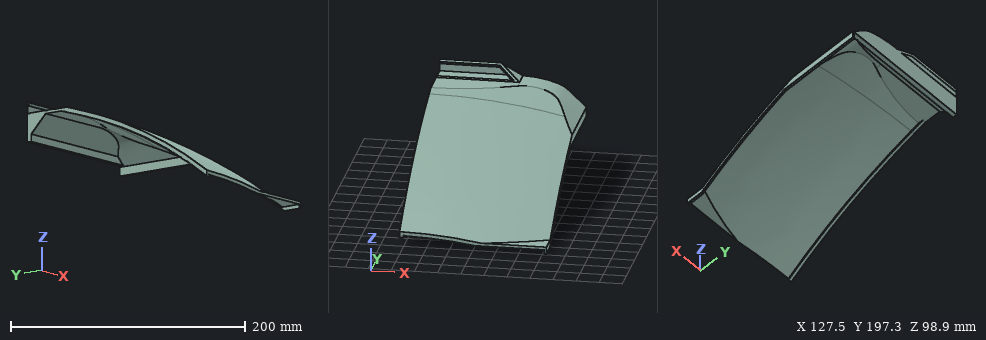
import cadquery as cq
import math

WIDTH = 127.5
LENGTH = 197.3
HEIGHT = 98.9
FLOOR = -39.5
OVERRUN = 9.9

DECK_Z = 88.4
LEDGE_Z = 6.3
SHOULDER_Z = 63.3
DECK_WIDTH = 72.5

ARC_BACK_Y = 145.5
CROWN_BACK_Z = 85.8
CROWN_FRONT_Z = 12.5
ARC_RISE = 7.3
EDGE_DROP_BACK = 15.5
EDGE_DROP_FRONT = 19.7

SHEET = 2.8
CURVED_SHEET = 3.0
LIP_WIDTH = 3.5
LIP_DEPTH = 1.4
FLANGE_WIDTH = 2.0
FLANGE_CURVED_DEPTH = 4.7
FLANGE_SHOULDER_DEPTH = 8.7

WALL_THICKNESS = 4.5
WALL_BOTTOM_Z = 63.3
GUSSET = 15.8

FRAME_DEPTH = 17.8
FRAME_TOP_WIDTH = 53.5
FRAME_RIM = 2.5
FRAME_FRONT_RIM = 1.5
FRAME_PLATE = 3.2
FRAME_WALL = 0.8


def main_section(x, depth):
    """Area under the curved surface at one X, lowered by depth along its normal."""
    fall = (x / WIDTH) ** 2
    back_z = CROWN_BACK_Z - EDGE_DROP_BACK * fall
    front_z = CROWN_FRONT_Z - EDGE_DROP_FRONT * fall
    chord = math.hypot(ARC_BACK_Y, back_z - front_z)
    radius = chord**2 / (8 * ARC_RISE) + ARC_RISE / 2
    chord_angle = math.atan2(back_z - front_z, ARC_BACK_Y)
    half_angle = math.asin(chord / (2 * radius))
    back_angle = chord_angle - half_angle
    center_y = ARC_BACK_Y + radius * math.sin(back_angle)
    center_z = back_z - radius * math.cos(back_angle)

    def arc_point(slope_angle):
        r = radius - depth
        return (center_y - r * math.sin(slope_angle), center_z + r * math.cos(slope_angle))

    front = arc_point(chord_angle + half_angle + OVERRUN / radius)
    middle = arc_point(chord_angle)
    back = arc_point(back_angle)
    end_y = LENGTH + OVERRUN
    end_z = back[1] + (end_y - back[0]) * math.tan(back_angle)
    return (
        cq.Workplane("YZ", origin=(x, 0, 0))
        .moveTo(front[0], FLOOR)
        .lineTo(*front)
        .threePointArc(middle, back)
        .lineTo(end_y, end_z)
        .lineTo(end_y, FLOOR)
        .close()
        .wire()
        .val()
    )


def main_solid(depth):
    wires = [main_section(x, depth) for x in (0, WIDTH / 2, WIDTH)]
    return cq.Workplane(cq.Solid.makeLoft(wires))


def shoulder_solid(depth):
    """Space under the deck and the rounded shoulder beside it."""
    curve = [(91.5, 86.5), (100.6, 84.0), (109.0, 80.3), (115.8, 74.4), (WIDTH, SHOULDER_Z)]
    end_slope = (curve[-1][0] - curve[-2][0], curve[-1][1] - curve[-2][1])
    return (
        cq.Workplane("XZ")
        .moveTo(0, FLOOR)
        .lineTo(0, DECK_Z)
        .lineTo(DECK_WIDTH, DECK_Z)
        .spline(curve, tangents=[(1, 0), end_slope], includeCurrent=True)
        .lineTo(WIDTH, FLOOR)
        .close()
        .extrude(-LENGTH)
        .translate((0, 0, -depth))
    )


def block(x0, x1, y0, y1, z0, z1):
    return cq.Workplane().box(x1 - x0, y1 - y0, z1 - z0, centered=False).translate((x0, y0, z0))


def filled_shape(curved_depth, shoulder_depth, ledge_depth):
    """Everything below the skin, with each kind of surface lowered by its own depth."""
    ledge = block(0, WIDTH, 0, LENGTH, FLOOR - OVERRUN, LEDGE_Z - ledge_depth)
    return main_solid(curved_depth).intersect(shoulder_solid(shoulder_depth)).union(ledge)


def x_slice(shape, x0, x1):
    return shape.intersect(block(x0, x1, 0, LENGTH, FLOOR - OVERRUN, HEIGHT))


def back_wall(outer):
    under_deck = DECK_Z - SHEET / 2
    inner_y = LENGTH - WALL_THICKNESS
    wall = (
        cq.Workplane("YZ")
        .polyline([
            (LENGTH, WALL_BOTTOM_Z),
            (LENGTH, under_deck),
            (inner_y - GUSSET, under_deck),
            (inner_y - GUSSET, DECK_Z - SHEET),
            (inner_y, DECK_Z - SHEET - GUSSET),
            (inner_y, WALL_BOTTOM_Z),
        ])
        .close()
        .extrude(WIDTH)
    )
    return wall.intersect(outer)


def frame_wedge(drop):
    """Space between the deck and the two sloping planes, both lowered by drop."""
    rise = HEIGHT - DECK_Z
    shortfall = drop / rise
    front_y = LENGTH - FRAME_DEPTH * (1 - shortfall)
    side_x = DECK_WIDTH - (DECK_WIDTH - FRAME_TOP_WIDTH) * shortfall
    front_slope = (
        cq.Workplane("YZ")
        .polyline([(front_y, DECK_Z), (LENGTH, DECK_Z), (LENGTH, HEIGHT - drop)])
        .close()
        .extrude(DECK_WIDTH)
    )
    side_slope = (
        cq.Workplane("XZ")
        .polyline([(0, DECK_Z), (side_x, DECK_Z), (FRAME_TOP_WIDTH, HEIGHT - drop), (0, HEIGHT - drop)])
        .close()
        .extrude(-LENGTH)
    )
    return front_slope.intersect(side_slope)


def frame_opening():
    """Window through the sloping plate, square to its front face."""
    rise = HEIGHT - DECK_Z
    side_run = (DECK_WIDTH - FRAME_TOP_WIDTH) / FRAME_DEPTH
    side_shift = FRAME_RIM * math.hypot(1, side_run)
    front_y = LENGTH - FRAME_DEPTH + FRAME_FRONT_RIM
    back_y = LENGTH - FRAME_RIM

    def side_x(y):
        return FRAME_TOP_WIDTH + (LENGTH - y) * side_run - side_shift

    corners = [(0, front_y), (side_x(front_y), front_y), (side_x(back_y), back_y), (0, back_y)]
    points = [cq.Vector(x, y, HEIGHT - (LENGTH - y) * rise / FRAME_DEPTH) for x, y in corners]
    plate_depth = FRAME_PLATE * FRAME_DEPTH / math.hypot(rise, FRAME_DEPTH)
    inward = cq.Vector(0, rise, -FRAME_DEPTH).normalized() * plate_depth
    window = cq.Solid.extrudeLinear(cq.Wire.makePolygon(points, close=True), [], inward)
    return cq.Workplane(window)


def sloping_frame():
    back_skin = block(0, DECK_WIDTH, LENGTH - FRAME_WALL, LENGTH, DECK_Z, HEIGHT)
    undercut = frame_wedge(FRAME_PLATE).cut(back_skin)
    above_deck = block(0, DECK_WIDTH, 0, LENGTH, DECK_Z, HEIGHT)
    return frame_wedge(0).cut(frame_opening().intersect(above_deck)).cut(undercut)


outer = filled_shape(0, 0, 0)
sheet = outer.cut(filled_shape(CURVED_SHEET, SHEET, SHEET))

lip_inside = filled_shape(CURVED_SHEET + LIP_DEPTH, SHEET, SHEET)
lip = x_slice(outer, 0, LIP_WIDTH).cut(lip_inside)

flange_back_z = SHOULDER_Z - FLANGE_SHOULDER_DEPTH
below_back_flange = block(0, WIDTH, 0, LENGTH, FLOOR - OVERRUN, flange_back_z)
below_ledge_flange = block(0, WIDTH, 0, LENGTH, FLOOR - OVERRUN, 0)
flange_inside = main_solid(FLANGE_CURVED_DEPTH).intersect(below_back_flange).union(below_ledge_flange)
flange = x_slice(outer, WIDTH - FLANGE_WIDTH, WIDTH).cut(flange_inside)

shell = sheet.union(lip).union(flange).union(back_wall(outer))
part_bounds = block(0, WIDTH, 0, LENGTH, 0, HEIGHT)
result = shell.union(sloping_frame()).intersect(part_bounds)